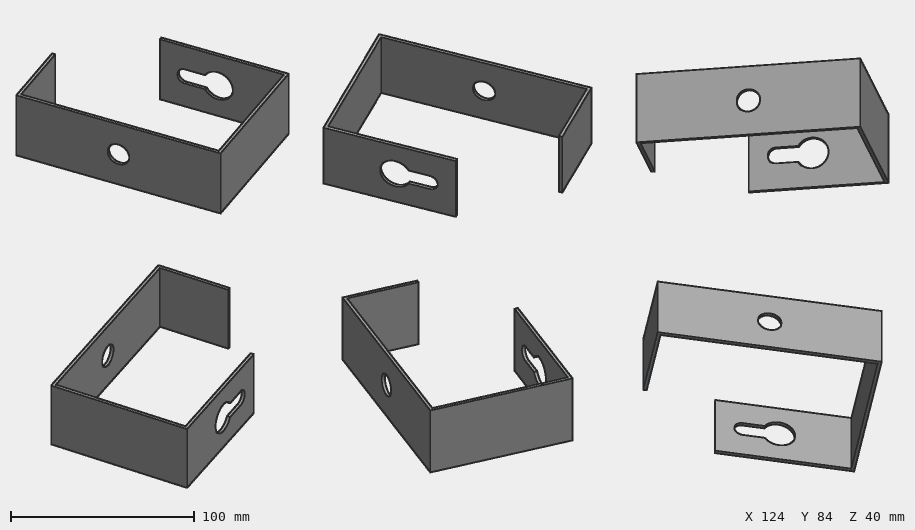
import cadquery as cq

length = 124.0
depth = 84.0
height = 40.0
thickness = 2.0

left_wall_depth = 44.1
back_wall_length = 77.3

access_diameter = 13.0
hole_x = length / 2
hole_z = height / 2

slot_width = 9.3
keyhole_diameter = 18.0
keyhole_offset = 20.0

cut_margin = 1.2
cut_depth = thickness + 2 * cut_margin


def make_strip():
    """Bent strip: short left wall, front wall, right wall and partial back wall."""
    back_wall_end = length - back_wall_length
    inner_right = length - thickness
    inner_back = depth - thickness
    return (
        cq.Workplane("XY")
        .polyline([
            (0, 0),
            (length, 0),
            (length, depth),
            (back_wall_end, depth),
            (back_wall_end, inner_back),
            (inner_right, inner_back),
            (inner_right, thickness),
            (thickness, thickness),
            (thickness, left_wall_depth),
            (0, left_wall_depth),
        ])
        .close()
        .extrude(height)
    )


def round_cutter(x, wall_y, diameter):
    """Cylinder along Y through the wall whose front face lies at wall_y."""
    return (
        cq.Workplane("XZ", origin=(x, wall_y - cut_margin, hole_z))
        .circle(diameter / 2)
        .extrude(-cut_depth)
    )


def make_keyhole_cutter():
    """Large entry hole with a round-ended slot running toward -X."""
    wall_y = depth - thickness
    slot = (
        cq.Workplane("XZ", origin=(hole_x, wall_y - cut_margin, hole_z))
        .center(keyhole_offset / 2, 0)
        .rect(keyhole_offset, slot_width)
        .extrude(-cut_depth)
    )
    slot_end = round_cutter(hole_x, wall_y, slot_width)
    entry = round_cutter(hole_x + keyhole_offset, wall_y, keyhole_diameter)
    return slot.union(slot_end).union(entry)


access_hole = round_cutter(hole_x, 0, access_diameter)
result = make_strip().cut(access_hole).cut(make_keyhole_cutter())